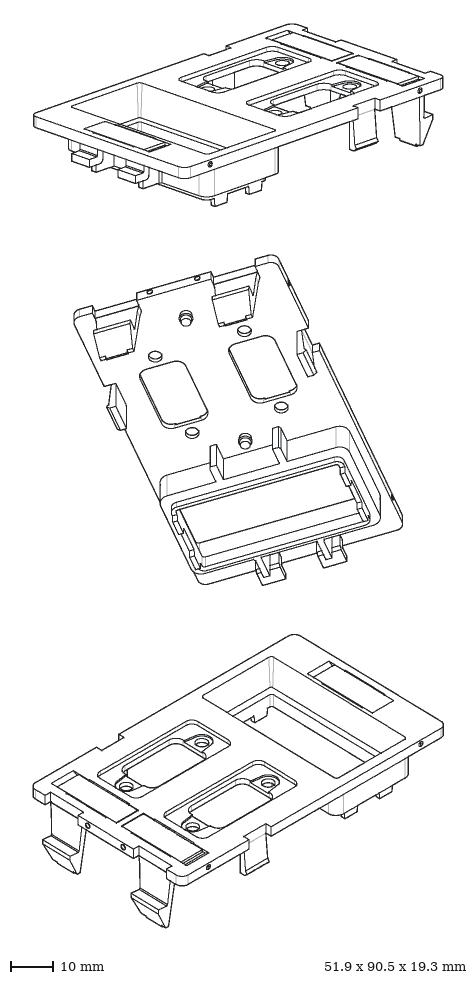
import cadquery as cq
import math


PLATE_WIDTH = 51.5
PLATE_BACK = 43.5
PLATE_FRONT = -44.0
PLATE_THICKNESS = 2.8
PLATE_CORNER_RADIUS = 2.0
HALF_WIDTH = PLATE_WIDTH / 2

NUB_RADIUS = 0.68
SIDE_NUB_TIP_RADIUS = 0.4
NUB_HEIGHT = 0.2
NUB_Z = -1.2
SIDE_NUB_YS = (34.75, -35.4)
BACK_NUB_X = 6.0

CONNECTOR_X = 11.2
CONNECTOR_Y = 13.3
RECESS_SIZE = (14.1, 32.3)
RECESS_RADIUS = 2.0
RECESS_DEPTH = 1.2
OPENING_SIZE = (11.5, 19.2)
OPENING_RADIUS = 2.35
SCREW_SPACING = 25.0
SCREW_HOLE_DIAMETER = 3.3
SEAT_RADIUS = 2.6
SEAT_MOUTH_HALF_WIDTH = 3.1
SEAT_DEPTH = 0.45

HOUSING_Y = -21.9
HOUSING_SIZE = (47.6, 25.4)
HOUSING_RADIUS = 2.5
HOUSING_BOTTOM = -10.5
WINDOW_SIZE = (45.8, 23.3)
WINDOW_RADIUS = 0.8
WINDOW_DRAFT_OFFSET = 0.4
LEDGE_Z = -8.7
COLLAR_SIZE = (43.4, 20.7)
COLLAR_RADIUS = 1.8
COLLAR_Y = -22.2
COLLAR_BOTTOM = -12.3
SLOT_FRONT = -31.3
SLOT_BACK = -12.6
SLOT_BACK_DRAFT = 0.2
SLOT_WIDTH = 41.0
SLOT_RADIUS = 0.6

FOOT_BOTTOM = -14.4
FOOT_Y = -22.0
FOOT_LENGTH = 4.5
FOOT_DRAFT = 0.23
FOOT_SPACING = 11.5

TAB_X = 7.7
TAB_WIDTH = 5.9
TAB_INNER = -40.6
TAB_STEM_FRONT = -42.4
TAB_TIP = -45.25
TAB_LIP_TOP = -5.4
TAB_BOTTOM = -7.4
TAB_CHAMFER = 0.7
TAB_ROOT_CHAMFER = 0.3
RIB_INNER_X = 7.1
RIB_OUTER_X = 9.0
RIB_END_STEP = 0.4
RIB_BACK = -4.4
RIB_TAPER_LENGTH = 0.6

HOOK_X = 14.9
HOOK_NOTCH_WIDTH = 11.1
HOOK_NOTCH_FLOOR = 41.7
HOOK_BOTTOM = -19.3
HOOK_TIP_Y = 45.25
HOOK_FLARE_Z = -4.9
HOOK_SHOULDER_Z = -18.6
HOOK_ROOT_HALF_WIDTH = 5.5
HOOK_SHAFT_HALF_WIDTH = 5.2
HOOK_SHOULDER_HALF_WIDTH = 4.2
HOOK_TIP_HALF_WIDTH = 2.7

CLIP_Y = 17.7
CLIP_WIDTH = 7.3
CLIP_ROOT_X = 24.0
CLIP_INNER_X = 22.8
CLIP_BOTTOM = -11.3

PEG_YS = (35.2, -5.0)

LABEL_LENGTH = 19.9
LABEL_WIDTH = 7.1
LABEL_THICKNESS = 0.7
FINGER_GAP = 0.7
FINGER_SLOPE = 1.3
SIDE_SLIT_LENGTH = 13.4
SIDE_SLIT_DEPTH = 0.3
BACK_LABEL_INNER_X = 1.0
BACK_LABEL_Y = 35.6
BACK_LABEL_CLEARANCE = 0.2
FRONT_LABEL_START_X = -10.05
FRONT_LABEL_Y = -38.2


def block(x_range, y_range, z_range):
    """Axis-aligned box between the given pairs of limits."""
    size = [high - low for low, high in (x_range, y_range, z_range)]
    return cq.Workplane("XY").box(*size, centered=False).translate((x_range[0], y_range[0], z_range[0]))


def rounded_block(size, center, top, bottom, radius):
    """Vertical box with rounded upright edges."""
    return (
        cq.Workplane("XY")
        .box(size[0], size[1], top - bottom, centered=(True, True, False))
        .edges("|Z")
        .fillet(radius)
        .translate((center[0], center[1], bottom))
    )


def profile_along_x(points, x, width):
    """Extrude a (y, z) outline by `width`, centred on the given x."""
    return cq.Workplane("YZ").polyline(points).close().extrude(width / 2, both=True).translate((x, 0, 0))


def on_both_sides(shape):
    """The shape together with its mirror image across X = 0."""
    return shape.union(shape.mirror("YZ"))


def plate():
    length = PLATE_BACK - PLATE_FRONT
    center = (0, (PLATE_BACK + PLATE_FRONT) / 2)
    body = rounded_block((PLATE_WIDTH, length), center, 0, -PLATE_THICKNESS, PLATE_CORNER_RADIUS)
    hook_notch = block(
        (HOOK_X - HOOK_NOTCH_WIDTH / 2, HOOK_X + HOOK_NOTCH_WIDTH / 2),
        (HOOK_NOTCH_FLOOR, PLATE_BACK),
        (-PLATE_THICKNESS, 0),
    )
    clip_notch = block(
        (CLIP_ROOT_X, HALF_WIDTH),
        (CLIP_Y - CLIP_WIDTH / 2, CLIP_Y + CLIP_WIDTH / 2),
        (-PLATE_THICKNESS, 0),
    )
    return body.cut(on_both_sides(hook_notch)).cut(on_both_sides(clip_notch))


def back_nub(x):
    """Low round nub on the back edge of the plate."""
    base = cq.Vector(x, PLATE_BACK, NUB_Z)
    return cq.Workplane(cq.Solid.makeCylinder(NUB_RADIUS, NUB_HEIGHT, base, cq.Vector(0, 1, 0)))


def side_nub(y):
    """Low truncated cone on the right edge of the plate."""
    base = cq.Vector(HALF_WIDTH, y, NUB_Z)
    return cq.Workplane(
        cq.Solid.makeCone(NUB_RADIUS, SIDE_NUB_TIP_RADIUS, NUB_HEIGHT, base, cq.Vector(1, 0, 0))
    )


def nubs():
    group = back_nub(BACK_NUB_X)
    for y in SIDE_NUB_YS:
        group = group.union(side_nub(y))
    return on_both_sides(group)


def screw_seat():
    """Seat recess around a screw hole at the origin, widening toward the opening on its -Y side."""
    mouth_y = (OPENING_SIZE[1] - SCREW_SPACING) / 2
    return (
        cq.Workplane("XY")
        .moveTo(-SEAT_MOUTH_HALF_WIDTH, mouth_y)
        .lineTo(-SEAT_RADIUS, 0)
        .threePointArc((0, SEAT_RADIUS), (SEAT_RADIUS, 0))
        .lineTo(SEAT_MOUTH_HALF_WIDTH, mouth_y)
        .close()
        .extrude(-RECESS_DEPTH - SEAT_DEPTH)
    )


def connector_cutout():
    """Recess, opening, screw seats and screw holes of one connector."""
    cutout = rounded_block(RECESS_SIZE, (0, 0), 0, -RECESS_DEPTH, RECESS_RADIUS)
    cutout = cutout.union(rounded_block(OPENING_SIZE, (0, 0), 0, -PLATE_THICKNESS, OPENING_RADIUS))
    hole = cq.Workplane("XY").circle(SCREW_HOLE_DIAMETER / 2).extrude(-PLATE_THICKNESS)
    seat = screw_seat().union(hole).translate((0, SCREW_SPACING / 2, 0))
    cutout = cutout.union(seat).union(seat.mirror("XZ"))
    return cutout.translate((CONNECTOR_X, CONNECTOR_Y, 0))


def window_housing():
    box = rounded_block(HOUSING_SIZE, (0, HOUSING_Y), -PLATE_THICKNESS, HOUSING_BOTTOM, HOUSING_RADIUS)
    collar = rounded_block(COLLAR_SIZE, (0, COLLAR_Y), HOUSING_BOTTOM, COLLAR_BOTTOM, COLLAR_RADIUS)
    return box.union(collar)


def window_cutout():
    """Tapered window down to the ledge, then the slot whose back wall leans forward."""
    taper = math.degrees(math.atan2(WINDOW_DRAFT_OFFSET, -LEDGE_Z))
    outline = cq.Sketch().rect(*WINDOW_SIZE).vertices().fillet(WINDOW_RADIUS)
    window = cq.Workplane("XY").placeSketch(outline).extrude(LEDGE_Z, taper=taper).translate((0, HOUSING_Y, 0))
    slot = profile_along_x(
        [
            (SLOT_FRONT, LEDGE_Z),
            (SLOT_BACK, LEDGE_Z),
            (SLOT_BACK - SLOT_BACK_DRAFT, COLLAR_BOTTOM),
            (SLOT_FRONT, COLLAR_BOTTOM),
        ],
        0,
        SLOT_WIDTH,
    )
    slot = slot.edges("not (|X or |Y)").fillet(SLOT_RADIUS)
    return window.union(slot)


def foot(y):
    """Foot on the side wall of the collar, narrowing downward."""
    half = FOOT_LENGTH / 2
    wall = (COLLAR_SIZE[0] - SLOT_WIDTH) / 2
    points = [
        (y - half, COLLAR_BOTTOM),
        (y + half, COLLAR_BOTTOM),
        (y + half - FOOT_DRAFT, FOOT_BOTTOM),
        (y - half + FOOT_DRAFT, FOOT_BOTTOM),
    ]
    return profile_along_x(points, (SLOT_WIDTH + wall) / 2, wall)


def feet():
    group = foot(FOOT_Y - FOOT_SPACING / 2).union(foot(FOOT_Y + FOOT_SPACING / 2))
    return on_both_sides(group)


def front_tabs():
    """L-shaped tabs that hang from the plate and reach out past its front edge."""
    points = [
        (TAB_INNER, -PLATE_THICKNESS),
        (TAB_STEM_FRONT, -PLATE_THICKNESS),
        (TAB_STEM_FRONT, TAB_LIP_TOP + TAB_ROOT_CHAMFER),
        (TAB_STEM_FRONT - TAB_ROOT_CHAMFER, TAB_LIP_TOP),
        (TAB_TIP, TAB_LIP_TOP),
        (TAB_TIP, TAB_BOTTOM),
        (TAB_INNER - TAB_CHAMFER, TAB_BOTTOM),
        (TAB_INNER, TAB_BOTTOM + TAB_CHAMFER),
    ]
    return on_both_sides(profile_along_x(points, TAB_X, TAB_WIDTH))


def ribs():
    """Upright ribs from behind the window housing to the front tabs, their outer faces set in at both ends."""
    housing_front = HOUSING_Y - HOUSING_SIZE[1] / 2
    end_x = RIB_OUTER_X - RIB_END_STEP
    outline = [
        (RIB_INNER_X, TAB_INNER),
        (end_x, TAB_INNER),
        (end_x, housing_front - RIB_TAPER_LENGTH),
        (RIB_OUTER_X, housing_front),
        (RIB_OUTER_X, RIB_BACK - RIB_TAPER_LENGTH),
        (end_x, RIB_BACK),
        (RIB_INNER_X, RIB_BACK),
    ]
    rib = cq.Workplane("XY").polyline(outline).close().extrude(HOUSING_BOTTOM + PLATE_THICKNESS)
    return on_both_sides(rib.translate((0, 0, -PLATE_THICKNESS)))


def hooks():
    """Latch hooks: a side profile with a barb, trimmed to a tapering, stepped front outline."""
    side_profile = [
        (40.0, -PLATE_THICKNESS),
        (41.8, -PLATE_THICKNESS),
        (42.3, -11.6),
        (42.5, -11.9),
        (HOOK_TIP_Y, -11.6),
        (HOOK_TIP_Y, -12.85),
        (42.1, HOOK_BOTTOM),
        (41.7, HOOK_BOTTOM),
        (41.45, -19.0),
    ]
    front_outline = [
        (-HOOK_ROOT_HALF_WIDTH, -PLATE_THICKNESS),
        (HOOK_ROOT_HALF_WIDTH, -PLATE_THICKNESS),
        (HOOK_SHAFT_HALF_WIDTH, HOOK_FLARE_Z),
        (HOOK_SHOULDER_HALF_WIDTH, HOOK_SHOULDER_Z),
        (HOOK_TIP_HALF_WIDTH, HOOK_SHOULDER_Z),
        (HOOK_TIP_HALF_WIDTH, HOOK_BOTTOM),
        (-HOOK_TIP_HALF_WIDTH, HOOK_BOTTOM),
        (-HOOK_TIP_HALF_WIDTH, HOOK_SHOULDER_Z),
        (-HOOK_SHOULDER_HALF_WIDTH, HOOK_SHOULDER_Z),
        (-HOOK_SHAFT_HALF_WIDTH, HOOK_FLARE_Z),
    ]
    trim = cq.Workplane("XZ").polyline(front_outline).close().extrude(-HOOK_TIP_Y)
    hook = profile_along_x(side_profile, 0, 2 * HOOK_ROOT_HALF_WIDTH).intersect(trim)
    return on_both_sides(hook.translate((HOOK_X, 0, 0)))


def side_clips():
    """Spring clips that hang from the side notches and end in a small barb."""
    points = [
        (CLIP_INNER_X, -PLATE_THICKNESS),
        (CLIP_ROOT_X, -PLATE_THICKNESS),
        (24.6, -9.8),
        (25.2, -10.6),
        (24.3, CLIP_BOTTOM),
        (CLIP_INNER_X, CLIP_BOTTOM),
    ]
    clip = cq.Workplane("XZ").polyline(points).close().extrude(CLIP_WIDTH / 2, both=True)
    return on_both_sides(clip.translate((0, CLIP_Y, 0)))


def peg(y):
    """Turned peg with a collar and a tapered tip; the outline holds (radius, z) points."""
    outline = [
        (0, -PLATE_THICKNESS),
        (1.45, -PLATE_THICKNESS),
        (1.6, -4.1),
        (1.4, -4.3),
        (1.2, -5.4),
        (0, -5.4),
    ]
    return cq.Workplane("XZ").polyline(outline).close().revolve(360, (0, 0), (0, 1)).translate((0, y, 0))


def label_pocket(clearance):
    """Pocket for a label that starts at x = 0 and is centred on y = 0, with a finger slope past its end.

    The clearance is left free at the start of the label and along its front edge.
    """
    slope_start = LABEL_LENGTH + FINGER_GAP
    half = LABEL_WIDTH / 2
    outline = [
        (-clearance, 0),
        (slope_start + FINGER_SLOPE, 0),
        (slope_start, -LABEL_THICKNESS),
        (-clearance, -LABEL_THICKNESS),
    ]
    pocket = (
        cq.Workplane("XZ").polyline(outline).close().extrude(LABEL_WIDTH + clearance).translate((0, half, 0))
    )
    slit_start = (LABEL_LENGTH - SIDE_SLIT_LENGTH) / 2
    slits = block(
        (slit_start, slit_start + SIDE_SLIT_LENGTH),
        (-half - clearance - SIDE_SLIT_DEPTH, half + SIDE_SLIT_DEPTH),
        (-LABEL_THICKNESS, 0),
    )
    return pocket.union(slits)


def label():
    """Label plate that starts at x = 0 and is centred on y = 0, flush with the plate top."""
    half = LABEL_WIDTH / 2
    return block((0, LABEL_LENGTH), (-half, half), (-LABEL_THICKNESS, 0))


def at_right(shape):
    return shape.translate((BACK_LABEL_INNER_X, BACK_LABEL_Y, 0))


def at_left(shape):
    return at_right(shape).mirror("YZ")


def at_front(shape):
    return shape.translate((FRONT_LABEL_START_X, FRONT_LABEL_Y, 0))


def faceplate():
    body = plate().union(window_housing()).union(ribs())
    for part in (nubs(), feet(), front_tabs(), hooks(), side_clips()):
        body = body.union(part)
    for y in PEG_YS:
        body = body.union(peg(y))
    body = body.cut(on_both_sides(connector_cutout())).cut(window_cutout())
    back_pocket = label_pocket(BACK_LABEL_CLEARANCE)
    for pocket in (at_right(back_pocket), at_left(back_pocket), at_front(label_pocket(0))):
        body = body.cut(pocket)
    return body


labels = [place(label()).val() for place in (at_right, at_left, at_front)]
result = cq.Compound.makeCompound([faceplate().val(), *labels])